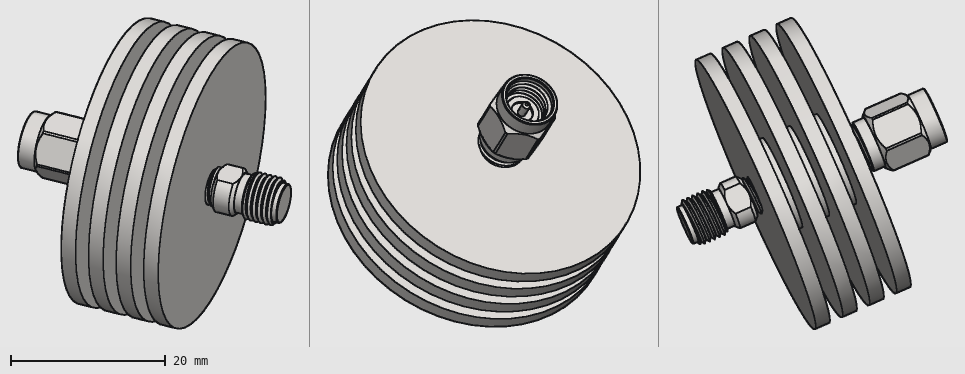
import cadquery as cq
import math


OVERLAP = 0.05

barrel_end = 2.32
hex_end = 8.7
collar_end = 10.25
sink_start = 12.05
sink_end = 25.53
wrench_start = 26.4
wrench_end = 29.6
jack_thread_start = 30.75
jack_thread_end = 34.8
total_length = 35.55

fin_diameter = 38.1
fin_count = 4
fin_thickness = 2.02
core_diameter = 12.7

barrel_diameter = 7.6
barrel_edge = 0.1
hex_across_flats = 7.85
hex_corner_diameter = 8.88
hex_back_chamfer = 0.72
collar_diameter = 6.9

mouth_diameter = 6.4
mouth_edge = 0.1
thread_bore_diameter = 5.4
mouth_depth = 0.75
socket_depth = 3.35
ferrule_diameter = 4.5
ferrule_height = 0.3
ferrule_bore_diameter = 2.9
ferrule_bore_depth = 0.4
pin_diameter = 1.05
pin_tip_diameter = 0.4
pin_tip_length = 0.23
pin_tip_depth = 1.25

wrench_diameter = 6.4
wrench_across_flats = 5.4
wrench_front_chamfer = 0.55
wrench_back_chamfer = 0.5
neck_diameter = 5.22
jack_edge = 0.1

ten_turn_length = 7.05
pitch = ten_turn_length / 10
thread_depth = 0.42
thread_gap = 0.025
thread_diameter = 6.4
plug_thread_crest = 11.05
inner_thread_crest = 1.22
small_thread_diameter = 5.25
small_thread_crest = 26.0
jack_thread_crest = 31.47
thread_lead = 0.2
jack_thread_lead = 0.4


def disk(start, end, diameter):
    """Cylinder on the X axis between two stations."""
    return cq.Workplane("YZ", origin=(start, 0, 0)).circle(diameter / 2).extrude(end - start)


def turned(points):
    """Solid of revolution about the X axis from (x, radius) points."""
    return cq.Workplane("XY").polyline(points).close().revolve(360, (0, 0, 0), (1, 0, 0))


def thread_ridge(start, end, crest_x, outer_diameter):
    """Right-handed V ridge whose crest crosses the +Z side at crest_x; it overruns both ends."""
    root_radius = outer_diameter / 2 - thread_depth
    first = crest_x - pitch * math.ceil((crest_x - start) / pitch + 1)
    turns = math.ceil((end - first) / pitch + 1)
    half_base = (pitch - thread_gap) / 2
    base = root_radius - OVERLAP
    helix = cq.Wire.makeHelix(pitch, turns * pitch, root_radius)
    ridge = (
        cq.Workplane("XZ")
        .polyline([(base, -half_base), (outer_diameter / 2, 0), (base, half_base)])
        .close()
        .sweep(cq.Workplane(obj=helix), isFrenet=True)
    )
    turned_to_x = ridge.rotate((0, 0, 0), (0, 1, 0), 90).rotate((0, 0, 0), (1, 0, 0), 180)
    return turned_to_x.translate((first, 0, 0))


def threaded_rod(start, end, crest_x, outer_diameter, lead):
    """Threaded rod, tapered by lead at both ends."""
    root_diameter = outer_diameter - 2 * thread_depth
    outer = outer_diameter / 2 + OVERLAP
    envelope = turned(
        [(start, 0), (start, outer - lead), (start + lead, outer),
         (end - lead, outer), (end, outer - lead), (end, 0)]
    )
    ridge = thread_ridge(start, end, crest_x, outer_diameter).intersect(envelope)
    return disk(start, end, root_diameter).union(ridge)


def heat_sink():
    fin_pitch = (sink_end - sink_start - fin_thickness) / (fin_count - 1)
    sink = disk(sink_start, sink_end, core_diameter)
    for index in range(fin_count):
        fin_start = sink_start + index * fin_pitch
        sink = sink.union(disk(fin_start, fin_start + fin_thickness, fin_diameter))
    return sink


def hex_nut():
    """Hexagon with flats on +Z and -Z, rounded corners and 45 degree turned ends."""
    corner_radius = hex_corner_diameter / 2
    end_radius = barrel_diameter / 2
    front_chamfer = corner_radius - end_radius
    corner_to_corner = hex_across_flats / math.cos(math.pi / 6)
    prism = (
        cq.Workplane("YZ", origin=(barrel_end, 0, 0))
        .polygon(6, corner_to_corner)
        .extrude(hex_end - barrel_end)
    )
    envelope = turned(
        [(barrel_end, 0), (barrel_end, end_radius), (barrel_end + front_chamfer, corner_radius),
         (hex_end - hex_back_chamfer, corner_radius),
         (hex_end, corner_radius - hex_back_chamfer), (hex_end, 0)]
    )
    return prism.intersect(envelope)


def plug_socket():
    """Threaded hole in the plug, to be cut away."""
    mouth_radius = mouth_diameter / 2
    bore_radius = thread_bore_diameter / 2
    lead_end = mouth_depth + mouth_radius - bore_radius
    hole = turned(
        [(0, 0), (0, mouth_radius + mouth_edge), (mouth_edge, mouth_radius), (mouth_depth, mouth_radius),
         (lead_end, bore_radius), (socket_depth, bore_radius), (socket_depth, 0)]
    )
    groove_diameter = thread_bore_diameter + 2 * thread_depth
    grooves = thread_ridge(mouth_depth, socket_depth, inner_thread_crest, groove_diameter)
    return hole.union(grooves.intersect(disk(mouth_depth, socket_depth, mouth_diameter)))


def ferrule():
    return disk(socket_depth - ferrule_height, socket_depth + OVERLAP, ferrule_diameter)


def ferrule_bore():
    """Shallow recess round the foot of the pin, to be cut away."""
    face = socket_depth - ferrule_height
    return disk(face, face + ferrule_bore_depth, ferrule_bore_diameter)


def pin():
    """Centre contact with a blunt conical tip."""
    foot = socket_depth - ferrule_height + ferrule_bore_depth + OVERLAP
    radius = pin_diameter / 2
    return turned(
        [(pin_tip_depth, 0), (pin_tip_depth, pin_tip_diameter / 2),
         (pin_tip_depth + pin_tip_length, radius), (foot, radius), (foot, 0)]
    )


def plug():
    body = disk(0, barrel_end, barrel_diameter).faces("<X").chamfer(barrel_edge)
    body = body.union(hex_nut()).union(disk(hex_end, collar_end, collar_diameter))
    return body.cut(plug_socket()).union(ferrule()).cut(ferrule_bore()).union(pin())


def jack_body():
    radius = wrench_diameter / 2
    wrench = turned(
        [(wrench_start, 0), (wrench_start, radius - wrench_front_chamfer),
         (wrench_start + wrench_front_chamfer, radius),
         (wrench_end - wrench_back_chamfer, radius),
         (wrench_end, radius - wrench_back_chamfer), (wrench_end, 0)]
    )
    flats = cq.Workplane("XY").box(2 * total_length, wrench_diameter, wrench_across_flats)
    neck = disk(wrench_end, jack_thread_start, neck_diameter)
    tip = disk(jack_thread_end, total_length, neck_diameter).faces(">X").chamfer(jack_edge)
    return wrench.intersect(flats).union(neck).union(tip)


plug_thread = threaded_rod(collar_end, sink_start, plug_thread_crest, thread_diameter, thread_lead)
small_thread = threaded_rod(sink_end, wrench_start, small_thread_crest, small_thread_diameter, thread_lead)
jack_thread = threaded_rod(
    jack_thread_start, jack_thread_end, jack_thread_crest, thread_diameter, jack_thread_lead
)

result = heat_sink()
for piece in (plug(), plug_thread, small_thread, jack_body(), jack_thread):
    result = result.union(piece)